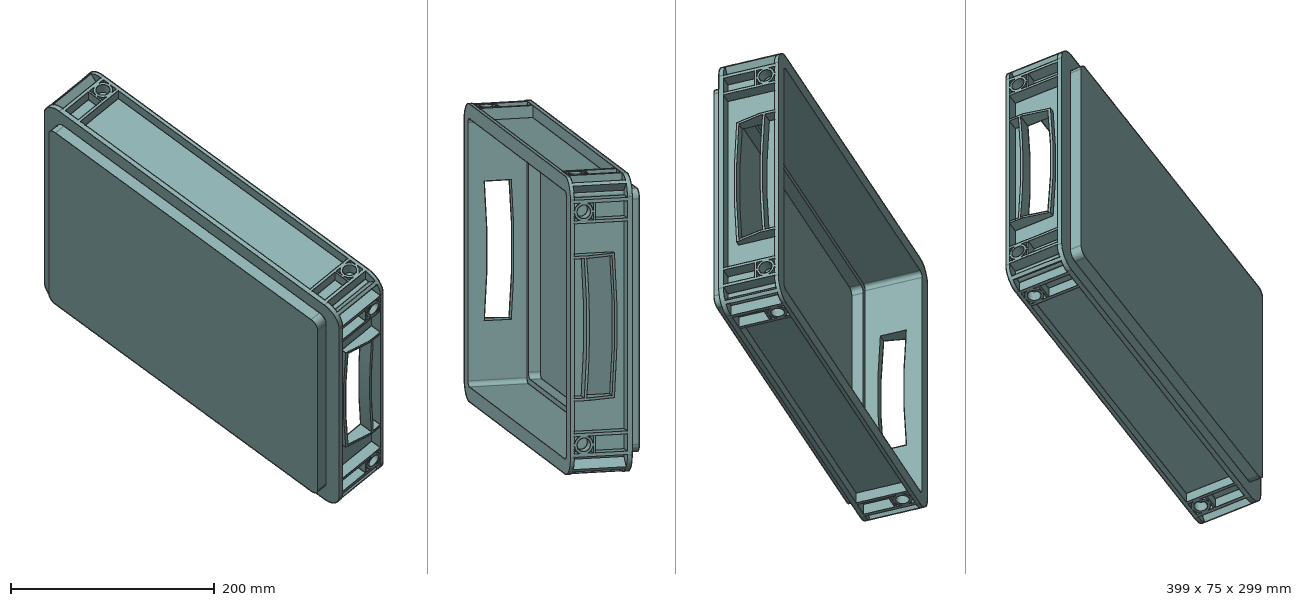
import cadquery as cq
import math

WIDTH = 399.0
HEIGHT = 299.0
DEPTH = 75.0
CORNER_RADIUS = 20.0

BASE_HEIGHT = 12.0
BASE_INSET = 17.5
BASE_RADIUS = 9.0

PANEL_INSET = 12.0
WALL = 3.0
FLOOR = 3.0
RIM_FLANGE = 4.0
LOWER_FLANGE = 5.0
RECESS_LOW = BASE_HEIGHT + LOWER_FLANGE
RECESS_HIGH = DEPTH - RIM_FLANGE

CORNER_SPAN = 20.5
CELL_START = 24.0
CELL_END = 41.2
LONG_RECESS_START = 44.2
CELL_RIB_LOW = 49.7
CELL_RIB_HIGH = 51.7
TUBE_OUTER_RADIUS = 9.5
TUBE_HOLE_RADIUS = 6.8
TUBE_RIB = 3.0
CORNER_RIB = 4.0

SLOT_LENGTH = 140.0
SLOT_LOW = 31.0
SLOT_HIGH = 58.4
SLOT_SAG = 2.8
COLLAR_WALL = 2.6
COLLAR_BEND = 56.0
COLLAR_SLOPE_RUN = 28.0
COLLAR_SLOPE_DROP = 6.6


def box(x_range, y_range, z_range):
    """Box spanning the given (low, high) ranges."""
    size = [high - low for low, high in (x_range, y_range, z_range)]
    origin = (x_range[0], y_range[0], z_range[0])
    return cq.Workplane("XY").box(*size, centered=False).translate(origin)


def rounded_block(inset, radius, low, high):
    """Rounded rectangle inset from the outer outline, between two Y levels."""
    block = cq.Workplane("XY").box(WIDTH - 2 * inset, high - low, HEIGHT - 2 * inset)
    return block.edges("|Y").fillet(radius).translate((0, (low + high) / 2, 0))


def cylinder_along_z(radius, x, y, low, high):
    return cq.Workplane("XY").center(x, y).circle(radius).extrude(high - low).translate((0, 0, low))


def place_on_side(shape, angle):
    """Move a shape made for a side whose outer face is Z = 0 onto the side at this angle about Y."""
    half_span = HEIGHT / 2 if angle % 180 == 0 else WIDTH / 2
    return shape.translate((0, 0, half_span)).rotate((0, 0, 0), (0, 1, 0), angle)


def end_cell_cutter(side_length, end):
    """Plain cell and ribbed tube cell at one end (-1 or +1) of a side."""
    inner = side_length / 2 - CELL_END
    outer = side_length / 2 - CELL_START
    x_range = sorted((end * inner, end * outer))
    z_range = (-PANEL_INSET, 0)
    plain_cell = box(x_range, (RECESS_LOW, CELL_RIB_LOW), z_range)
    tube_cell = box(x_range, (CELL_RIB_HIGH, RECESS_HIGH), z_range)
    tube_x = sum(x_range) / 2
    tube_y = (CELL_RIB_HIGH + RECESS_HIGH) / 2
    tube = cylinder_along_z(TUBE_OUTER_RADIUS, tube_x, tube_y, *z_range)
    rib_x_range = (tube_x - TUBE_RIB / 2, tube_x + TUBE_RIB / 2)
    tube_rib = box(rib_x_range, (CELL_RIB_HIGH, RECESS_HIGH), z_range)
    hole = cylinder_along_z(TUBE_HOLE_RADIUS, tube_x, tube_y, *z_range)
    return plain_cell.union(tube_cell.cut(tube).cut(tube_rib)).union(hole)


def long_recess_cutter(side_length):
    half = side_length / 2 - LONG_RECESS_START
    return box((-half, half), (RECESS_LOW, RECESS_HIGH), (-PANEL_INSET, 0))


def handle_profile(margin, depth):
    """Prism of the curved slot outline grown by a margin, going inward from the outer face."""
    half = SLOT_LENGTH / 2 + margin
    low = SLOT_LOW - margin
    high = SLOT_HIGH + margin
    return (
        cq.Workplane("XY")
        .moveTo(-half, low)
        .threePointArc((0, low - SLOT_SAG), (half, low))
        .lineTo(half, high)
        .threePointArc((0, high - SLOT_SAG), (-half, high))
        .close()
        .extrude(-depth)
    )


def handle_collar():
    """Frame around the slot, its two ends running on to the rim, with a sloping front."""
    half = SLOT_LENGTH / 2
    collar = handle_profile(COLLAR_WALL, PANEL_INSET)
    for end in (-1, 1):
        x_range = sorted((end * half, end * (half + COLLAR_WALL)))
        collar = collar.union(box(x_range, (SLOT_LOW, RECESS_HIGH), (-PANEL_INSET, 0)))
    slope_end = COLLAR_BEND - COLLAR_SLOPE_RUN * PANEL_INSET / COLLAR_SLOPE_DROP
    wedge = (
        cq.Workplane("YZ")
        .moveTo(RECESS_HIGH, 0)
        .lineTo(RECESS_HIGH, -PANEL_INSET)
        .lineTo(slope_end, -PANEL_INSET)
        .lineTo(COLLAR_BEND, 0)
        .close()
        .extrude(SLOT_LENGTH, both=True)
    )
    return collar.intersect(wedge)


def corner_cutter():
    """Recesses at the four corners, each split by a diagonal rib."""
    cutter = cq.Workplane("XY")
    corner_x = WIDTH / 2 - CORNER_SPAN
    corner_z = HEIGHT / 2 - CORNER_SPAN
    rib_length = 2 * math.sqrt(2) * CORNER_SPAN
    for x_sign in (-1, 1):
        for z_sign in (-1, 1):
            x_range = sorted((x_sign * WIDTH / 2, x_sign * corner_x))
            z_range = sorted((z_sign * HEIGHT / 2, z_sign * corner_z))
            recess = box(x_range, (RECESS_LOW, RECESS_HIGH), z_range)
            rib = (
                cq.Workplane("XY")
                .box(rib_length, 2 * DEPTH, CORNER_RIB)
                .rotate((0, 0, 0), (0, 1, 0), -45 * x_sign * z_sign)
                .translate((x_sign * corner_x, 0, z_sign * corner_z))
            )
            cutter = cutter.add(recess.cut(rib))
    panel = rounded_block(PANEL_INSET, CORNER_RADIUS - PANEL_INSET, 0, DEPTH)
    return cutter.combine().cut(panel)


def make_tray():
    tray = rounded_block(0, CORNER_RADIUS, BASE_HEIGHT, DEPTH)
    tray = tray.union(rounded_block(BASE_INSET, BASE_RADIUS, 0, BASE_HEIGHT))

    upper_inset = PANEL_INSET + WALL
    upper_floor = BASE_HEIGHT + FLOOR
    tray = tray.cut(rounded_block(upper_inset, CORNER_RADIUS - upper_inset, upper_floor, DEPTH))
    tray = tray.cut(rounded_block(BASE_INSET + WALL, BASE_RADIUS - WALL, FLOOR, upper_floor))

    for angle in (0, 90, 180, 270):
        has_handle = angle % 180 == 90
        side_length = HEIGHT if has_handle else WIDTH
        recess = long_recess_cutter(side_length)
        if has_handle:
            slot_depth = PANEL_INSET + 2 * WALL
            recess = recess.cut(handle_collar())
            recess = recess.union(handle_profile(0, slot_depth))
        for end in (-1, 1):
            recess = recess.union(end_cell_cutter(side_length, end))
        tray = tray.cut(place_on_side(recess, angle))
    return tray.cut(corner_cutter())


result = make_tray()